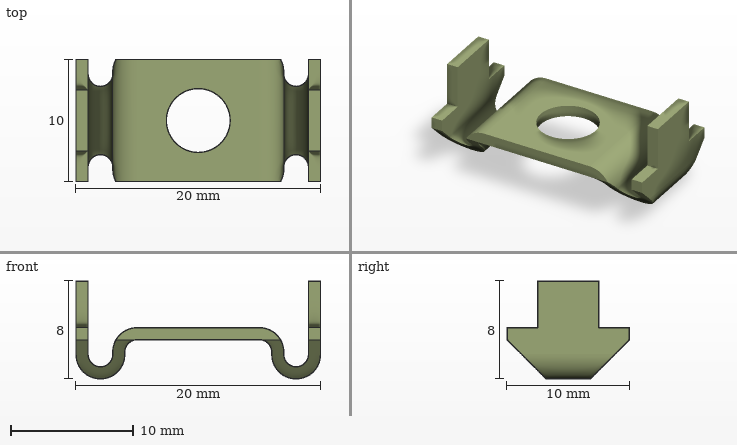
import cadquery as cq

length = 20.0
width = 10.0
height = 8.0
thickness = 1.0

inner_radius = 1.0
outer_radius = inner_radius + thickness
plate_top = 4.2
plate_bottom = plate_top - thickness
half_length = length / 2
bend_x = half_length - outer_radius
bend_z = outer_radius
shoulder_x = bend_x - inner_radius
plate_end = shoulder_x - outer_radius
shoulder_z = plate_top - outer_radius

tab_width = 5.0
hole_diameter = 5.2
half_width = width / 2
bottom_half_width = half_width - plate_bottom


def half_strip():
    """Right-hand half of the bent strip, across the full width."""
    bend_inner_x = bend_x - outer_radius
    wall_inner_x = half_length - thickness
    profile = (
        cq.Workplane("XZ")
        .moveTo(0, plate_top)
        .lineTo(plate_end, plate_top)
        .radiusArc((shoulder_x, shoulder_z), outer_radius)
        .lineTo(shoulder_x, bend_z)
        .threePointArc((bend_x, bend_z - inner_radius), (wall_inner_x, bend_z))
        .lineTo(wall_inner_x, height)
        .lineTo(half_length, height)
        .lineTo(half_length, bend_z)
        .threePointArc((bend_x, bend_z - outer_radius), (bend_inner_x, bend_z))
        .lineTo(bend_inner_x, shoulder_z)
        .radiusArc((plate_end, plate_bottom), -inner_radius)
        .lineTo(0, plate_bottom)
        .close()
    )
    return profile.extrude(half_width, both=True)


def side_outline():
    """Outline seen along X: tab on top, sloped flanks below the plate."""
    half_tab = tab_width / 2
    right_side = [
        (bottom_half_width, 0),
        (half_width, plate_bottom),
        (half_width, plate_top),
        (half_tab, plate_top),
        (half_tab, height),
    ]
    left_side = [(-y, z) for y, z in reversed(right_side)]
    return (
        cq.Workplane("YZ")
        .polyline(right_side + left_side)
        .close()
        .extrude(half_length, both=True)
    )


right_half = half_strip()
strip = right_half.union(right_half.mirror("YZ"))
trimmed = strip.intersect(side_outline())

hole = cq.Workplane("XY").circle(hole_diameter / 2).extrude(height)
result = trimmed.cut(hole).clean()